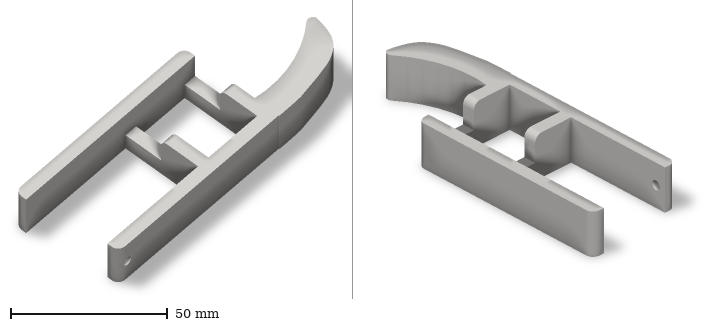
import cadquery as cq

height = 17.0
length = 117.7
wall = 5.0
corner_radius = 3.1

bar_top = 80.0
rail_outer = 41.2
rail_inner = rail_outer - wall
rail_bottom = 4.1

rib_pitch = 28.0
rib_tops = (bar_top, bar_top - rib_pitch)
step_x = 20.2
step_height = 6.7
step_radius = 3.0

hook_bulge = 41.4
hook_root_inner = (30.7, bar_top)
hook_inner_middle = (29.5, 99.1)
hook_inner_end = (21.8, 114.2)
tip_side = (21.5, 116.4)
tip_top = (23.0, length)
hook_back = [(27.2, 116.8), (33.2, 114.2), (36.7, 110.0), (39.1, 103.1), (40.7, 93.7), (hook_bulge, 82.4)]
hook_tip_direction = (1, -0.1)

hole_diameter = 3.5
hole_from_end = 4.1


def block(x_start, x_end, y_start, y_end, block_height=height):
    """Upright block standing on the base plane."""
    return cq.Workplane("XY").box(
        x_end - x_start, y_end - y_start, block_height, centered=False
    ).translate((x_start, y_start, 0))


def make_bar():
    return block(0, wall, 0, bar_top).edges("|Z and <X").fillet(corner_radius)


def make_rail():
    rail = block(rail_inner, rail_outer, rail_bottom, bar_top)
    rail = rail.edges("|Z and >X and <Y").fillet(corner_radius)
    hole = (
        cq.Workplane("YZ", origin=(rail_inner, 0, 0))
        .center(rail_bottom + hole_from_end, height / 2)
        .circle(hole_diameter / 2)
        .extrude(wall)
    )
    return rail.cut(hole)


def make_rib(top):
    low_part = block(wall, step_x, top - wall, top, step_height)
    tall_part = block(step_x, rail_inner, top - wall, top)
    tall_part = tall_part.edges("|Y and <X and >Z").fillet(step_radius)
    return low_part.union(tall_part)


def make_hook():
    return (
        cq.Workplane("XY")
        .moveTo(*hook_root_inner)
        .threePointArc(hook_inner_middle, hook_inner_end)
        .threePointArc(tip_side, tip_top)
        .spline(hook_back, tangents=[hook_tip_direction, (0, -1)], includeCurrent=True)
        .lineTo(hook_bulge, bar_top)
        .close()
        .extrude(height)
    )


result = make_bar().union(make_rail()).union(make_hook())
for rib_top in rib_tops:
    result = result.union(make_rib(rib_top))